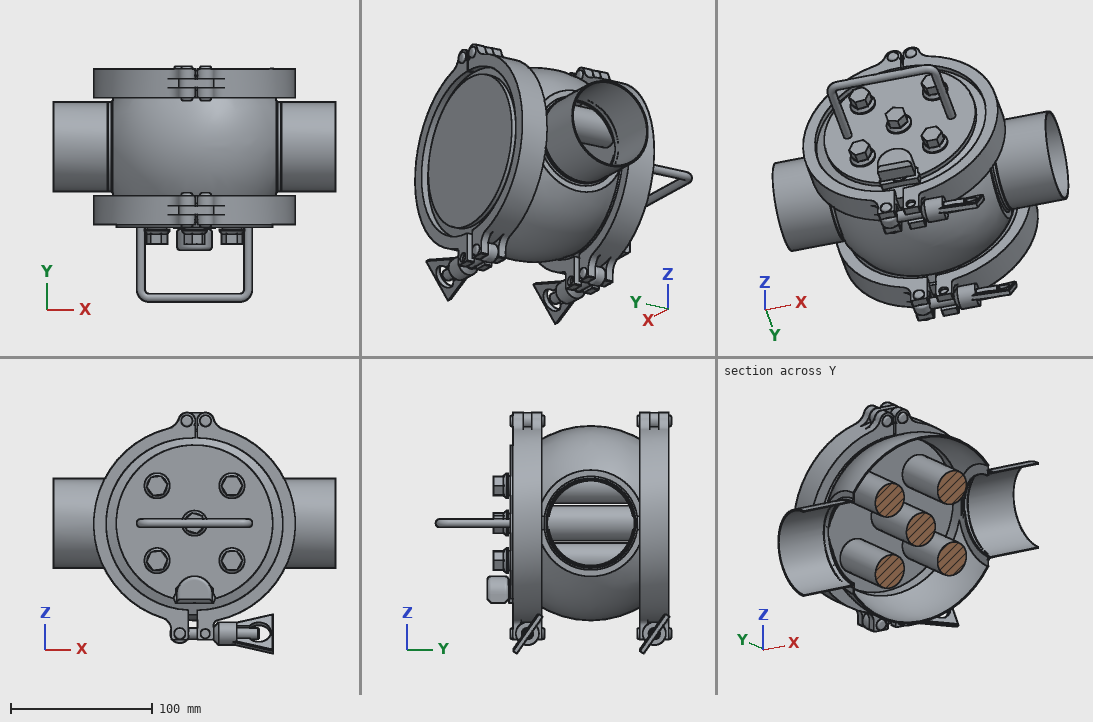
import cadquery as cq
import math

overall_length = 200.0
pipe_outer_radius = 31.8
pipe_wall = 1.0
port_radius = 30.0
body_radius = 69.0
body_wall = 1.2
body_flat_x = 57.8
collar_radius = 33.2
collar_end_x = 59.0
seam_x = 61.0
seam_width = 0.5
seam_depth = 0.2

clamp_y = 44.9
clamp_width = 20.5
clamp_front = clamp_width / 2
clamp_back = -clamp_width / 2
clamp_outer_radius = 69.8
clamp_bore_radius = 61.0
half_offset_x = 1.5
half_offset_z = -0.5
rim_radius = 65.0
rim_inner_radius = 62.5
rim_thickness = 4.8
neck_radius = 60.0
neck_bore_radius = 58.0
cover_face_radius = 55.5
cover_lip_height = 3.5
front_cover_y = -57.0
rear_cover_y = 54.0

hinge_x = 1.2
hinge_pitch = 13.2
hinge_z = 72.5
knuckle_radius = 6.0
knuckle_blend_radius = 10.8
hinge_gap = 1.5
link_width = 6.2
link_end_radius = 5.8
pin_head_radius = 4.0
pin_head_round = 1.5
pin_head_height = 1.9
pin_length = clamp_width + 2 * pin_head_height

bolt_z = -78.2
lug_bottom_z = -82.5
lug_slot_width = 9.0
lug_chamfer = 0.5
left_lug_x = (-4.5, -16.5)
right_lug_x = (2.0, 13.5)
left_lug_blend = 9.0
right_lug_blend = 3.5
eye_x = -10.5
eye_radius = 6.8
eye_width = 8.5
eye_round = 1.5
bolt_radius = 4.1
bolt_end_x = 45.8
bolt_end_chamfer = 1.0
socket_x = 7.5
socket_radius = 3.3
socket_depth = 2.0

nut_radius = 8.2
nut_end_x = 30.0
nut_bevel = 3.5
wing_start_x = 24.0
wing_end_x = 55.8
wing_start_half = 7.2
wing_end_half = 16.0
wing_thickness = 4.0
wing_tilt = 35.0
wing_bevel = 0.8
wing_hole_x = 45.5
wing_hole_radius = 8.5
wing_slot_half = 5.5

tube_pitch = 26.5
tube_radius = 12.5
tube_end_y = 44.0
screw_neck_radius = 7.0
screw_neck_height = 1.5
screw_flange_radius = 9.0
screw_flange_edge = 1.2
screw_flange_height = 3.5
screw_head_corners = 15.0
screw_head_end_y = -69.0
center_screw_turn = 16.5
left_screw_turn = -7.0
right_screw_turn = -1.0

handle_rod_radius = 3.0
handle_leg_x = 38.0
handle_bend_radius = 6.0
handle_outer_y = -110.0

knob_radius = 12.5
knob_z = -50.0
knob_bottom_z = -56.5
knob_start_y = -58.2
knob_end_y = -73.5
knob_edge = 2.8
knob_neck_radius = 6.2
pad_half_width = 13.5
pad_flare = 1.5
pad_corner = 2.5
pad_top_z = -44.0
pad_end_y = -57.8


def plane_at(y):
    """Plane with local axes X and Z; positive extrusion runs toward -Y."""
    return cq.Workplane("XZ", origin=(0, y, 0))


def disc(x, z, radius, y_start, y_end):
    """Cylinder along Y from y_start down to y_end."""
    return plane_at(y_start).center(x, z).circle(radius).extrude(y_start - y_end)


def block(x_range, y_range, z_range):
    """Axis-aligned box given by its limits."""
    size = [limits[1] - limits[0] for limits in (x_range, y_range, z_range)]
    corner = (x_range[0], y_range[0], z_range[0])
    return cq.Workplane("XY").box(*size, centered=False).translate(corner)


def turned_about_y(profile):
    """Solid of revolution about Y from (radius, y) points."""
    return cq.Workplane("XY").polyline(profile).close().revolve(360, (0, 0, 0), (0, 1, 0))


def cylinder_along_x(radius, x_start, x_end, z=0.0):
    """Cylinder along X at y = 0."""
    return cq.Workplane("YZ", origin=(x_start, 0, z)).circle(radius).extrude(x_end - x_start)


def make_housing():
    """Truncated sphere, pipe stubs and end rims, hollow throughout."""
    half_length = overall_length / 2
    ball_limits = (-body_flat_x, body_flat_x)
    clip_y = (-clamp_y, clamp_y)
    clip_z = (-body_radius, body_radius)
    housing = cq.Workplane("XY").sphere(body_radius).intersect(block(ball_limits, clip_y, clip_z))
    inner_limits = (-body_flat_x + body_wall, body_flat_x - body_wall)
    cavity = cq.Workplane("XY").sphere(body_radius - body_wall)
    cavity = cavity.intersect(block(inner_limits, clip_y, clip_z))

    rim_base_y = clamp_y - rim_thickness
    neck_start_y = clamp_y - clamp_width / 2
    rim_profile = [
        (0, 0), (neck_radius, neck_start_y), (rim_inner_radius, rim_base_y),
        (rim_radius, rim_base_y), (rim_radius, clamp_y), (0, clamp_y),
    ]
    rim = turned_about_y(rim_profile)
    rim = rim.intersect(disc(0, 0, rim_radius, clamp_y, neck_start_y))
    housing = housing.union(rim).union(rim.mirror("XZ"))

    seam_radius = pipe_outer_radius - seam_depth
    collar_profile = [
        (body_flat_x - body_wall, 0), (body_flat_x - body_wall, collar_radius),
        (body_flat_x, collar_radius), (collar_end_x, pipe_outer_radius),
        (seam_x, pipe_outer_radius), (seam_x, seam_radius),
        (seam_x + seam_width, seam_radius), (seam_x + seam_width, pipe_outer_radius),
        (half_length, pipe_outer_radius), (half_length, 0),
    ]
    stub = cq.Workplane("XY").polyline(collar_profile).close().revolve(360, (0, 0, 0), (1, 0, 0))
    stub = stub.cut(cylinder_along_x(pipe_outer_radius - pipe_wall, body_flat_x, half_length))
    housing = housing.union(stub).union(stub.mirror("YZ"))

    housing = housing.cut(cavity)
    housing = housing.cut(cylinder_along_x(port_radius, -half_length, half_length))
    return housing.cut(disc(0, 0, neck_bore_radius, clamp_y, -clamp_y))


def make_cover(face_y):
    """Round cover from the rim joint out to face_y, with a sloping edge."""
    side = math.copysign(1, face_y)
    joint_y = side * clamp_y
    rim_y = side * (clamp_y + rim_thickness)
    lip_y = face_y - side * cover_lip_height
    return turned_about_y([
        (0, joint_y), (rim_radius, joint_y), (rim_radius, rim_y),
        (cover_face_radius, lip_y), (cover_face_radius, face_y), (0, face_y),
    ])


def middle_band(width):
    """Slab across the middle of a clamp, splitting what it cuts into two prongs."""
    reach = (2 * bolt_z, -2 * bolt_z)
    return block(reach, (-width / 2, width / 2), reach)


def make_hinge_ear(pin_x, pin_z, side):
    """Knuckle beside a ring centred on the origin, blended into it by an arc tangent to both."""
    pin_distance = math.hypot(pin_x, pin_z)
    to_ring = clamp_outer_radius + knuckle_blend_radius
    to_knuckle = knuckle_radius + knuckle_blend_radius
    cosine = (to_ring**2 + pin_distance**2 - to_knuckle**2) / (2 * to_ring * pin_distance)
    angle = math.atan2(pin_x, pin_z) + side * math.acos(cosine)
    blend_x = to_ring * math.sin(angle)
    blend_z = to_ring * math.cos(angle)

    web = plane_at(clamp_front).polyline([(0, 0), (pin_x, pin_z), (blend_x, blend_z)]).close()
    web = web.extrude(clamp_width)
    web = web.cut(disc(blend_x, blend_z, knuckle_blend_radius, clamp_front, clamp_back))
    ear = web.union(disc(pin_x, pin_z, knuckle_radius, clamp_front, clamp_back))
    return ear.cut(middle_band(link_width))


def make_lug(inner_x, outer_x, bottom_z, blend_radius):
    """Lug below a ring centred on the origin, its outer side blended into the ring by an arc."""
    side = math.copysign(1, outer_x)
    x_range = (min(inner_x, outer_x), max(inner_x, outer_x))
    lug = block(x_range, (clamp_back, clamp_front), (bottom_z, -clamp_bore_radius))
    lug = lug.edges("|Y and <Z").chamfer(lug_chamfer)
    blend_x = outer_x + side * blend_radius
    to_ring = clamp_outer_radius + blend_radius
    blend_z = -math.sqrt(to_ring**2 - blend_x**2)
    web = plane_at(clamp_front).polyline([(0, 0), (outer_x, blend_z), (blend_x, blend_z)]).close()
    web = web.extrude(clamp_width)
    web = web.cut(disc(blend_x, blend_z, blend_radius, clamp_front, clamp_back))
    return lug.union(web).cut(middle_band(lug_slot_width))


def make_clamp_half(side, lug_x, lug_blend):
    """One half of the ring with its hinge knuckles and its forked lug."""
    center_x = side * half_offset_x
    half = disc(0, 0, clamp_outer_radius, clamp_front, clamp_back)
    pin_x = hinge_x + side * hinge_pitch / 2
    half = half.union(make_hinge_ear(pin_x - center_x, hinge_z - half_offset_z, side))
    inner_x, outer_x = lug_x
    half = half.union(make_lug(
        inner_x - center_x, outer_x - center_x, lug_bottom_z - half_offset_z, lug_blend,
    ))
    half = half.cut(disc(0, 0, clamp_bore_radius, clamp_front, clamp_back))
    half = half.translate((center_x, 0, half_offset_z))

    far_x = -side * 2 * clamp_outer_radius
    far_z = 2 * clamp_outer_radius
    split_x = hinge_x + side * hinge_gap / 2
    above = block(sorted((split_x, far_x)), (clamp_back, clamp_front), (0, far_z))
    below = block(sorted((inner_x, far_x)), (clamp_back, clamp_front), (-far_z, 0))
    return half.cut(above).cut(below)


def make_pin(x, z):
    """Cross pin with rounded heads proud of both clamp faces."""
    pin = disc(x, z, pin_head_radius, pin_length / 2, -pin_length / 2)
    return pin.edges().fillet(pin_head_round)


def make_link():
    """Flat-sided link joining the two hinge pins."""
    link = plane_at(link_width / 2).center(hinge_x, hinge_z)
    return link.slot2D(hinge_pitch + 2 * link_end_radius, 2 * link_end_radius).extrude(link_width)


def make_swing_bolt():
    """Eye bolt with its wing nut, tightened against the right lug."""
    eye = disc(eye_x, bolt_z, eye_radius, eye_width / 2, -eye_width / 2)
    eye = eye.edges().fillet(eye_round)
    nut = cylinder_along_x(nut_radius, right_lug_x[1], nut_end_x, bolt_z)
    nut = nut.faces("<X").edges().chamfer(nut_bevel)

    wing_outline = [
        (wing_start_x, wing_start_half), (wing_end_x, wing_end_half),
        (wing_end_x, -wing_end_half), (wing_start_x, -wing_start_half),
    ]
    wing = plane_at(wing_thickness / 2).polyline(wing_outline).close().extrude(wing_thickness)
    wing = wing.faces("<Y").edges().chamfer(wing_bevel)
    wing = wing.cut(disc(wing_hole_x, 0, wing_hole_radius, wing_thickness, -wing_thickness))
    wing = wing.cut(block(
        (nut_end_x, wing_hole_x), (-wing_thickness, wing_thickness), (-wing_slot_half, wing_slot_half),
    ))
    wing = wing.rotate((0, 0, 0), (1, 0, 0), -wing_tilt).translate((0, 0, bolt_z))
    shank = cylinder_along_x(bolt_radius, eye_x, bolt_end_x, bolt_z)
    shank = shank.faces(">X").chamfer(bolt_end_chamfer)
    return eye.union(nut).union(wing).union(shank)


def make_clamp():
    """Hinged two-piece ring clamp, its width centred on y = 0."""
    clamp = make_clamp_half(-1, left_lug_x, left_lug_blend)
    clamp = clamp.union(make_clamp_half(1, right_lug_x, right_lug_blend))
    for outer_y, inner_y in ((clamp_front, clamp_front - socket_depth), (clamp_back + socket_depth, clamp_back)):
        clamp = clamp.cut(disc(socket_x, bolt_z, socket_radius, outer_y, inner_y))
    clamp = clamp.union(make_link()).union(make_swing_bolt())
    for side in (-1, 1):
        clamp = clamp.union(make_pin(hinge_x + side * hinge_pitch / 2, hinge_z))
    return clamp.union(make_pin(eye_x, bolt_z))


def make_screw(turn):
    """Hexagon screw with a conical flange on the Y axis, its head turned by the given angle."""
    flange_y = front_cover_y - screw_neck_height
    edge_y = flange_y - screw_flange_edge
    cone_y = flange_y - screw_flange_height
    screw = turned_about_y([
        (0, front_cover_y), (screw_neck_radius, front_cover_y), (screw_neck_radius, flange_y),
        (screw_flange_radius, flange_y), (screw_flange_radius, edge_y),
        (screw_neck_radius, cone_y), (0, cone_y),
    ])
    head = plane_at(flange_y).polygon(6, screw_head_corners).extrude(flange_y - screw_head_end_y)
    return screw.union(head.rotate((0, 0, 0), (0, 1, 0), turn))


def make_handle():
    """U-shaped rod standing out of the front cover."""
    rod_y = handle_outer_y + handle_rod_radius
    bend_y = rod_y + handle_bend_radius
    bend_x = handle_leg_x - handle_bend_radius
    leg = disc(handle_leg_x, 0, handle_rod_radius, front_cover_y, bend_y)
    bend = plane_at(bend_y).center(handle_leg_x, 0).circle(handle_rod_radius)
    bend = bend.revolve(90, (-handle_bend_radius, 2), (-handle_bend_radius, 0))
    bar = cylinder_along_x(handle_rod_radius, -bend_x, bend_x).translate((0, rod_y, 0))
    corner = leg.union(bend)
    return bar.union(corner).union(corner.mirror("YZ"))


def make_knob():
    """Half-round knob on a short neck, above a pad that fills out the cover edge."""
    knob = plane_at(knob_start_y).moveTo(-knob_radius, 2 * knob_bottom_z).lineTo(-knob_radius, knob_z)
    knob = knob.threePointArc((0, knob_z + knob_radius), (knob_radius, knob_z))
    knob = knob.lineTo(knob_radius, 2 * knob_bottom_z).close().extrude(knob_start_y - knob_end_y)
    knob = knob.faces("<Y or >Y").edges().fillet(knob_edge)
    side_outline = [
        (knob_start_y, 0), (knob_start_y, knob_bottom_z + knob_edge),
        (knob_start_y - knob_edge, knob_bottom_z), (knob_end_y + knob_edge, knob_bottom_z),
        (knob_end_y, knob_bottom_z + knob_edge), (knob_end_y, 0),
    ]
    knob = knob.intersect(
        cq.Workplane("YZ").polyline(side_outline).close().extrude(knob_radius, both=True)
    )
    neck = disc(0, knob_z, knob_neck_radius, front_cover_y, knob_start_y)
    flare_x = pad_half_width + pad_flare
    flare_z = knob_z - 2 * pad_flare
    right_side = [
        (pad_half_width - pad_corner, pad_top_z), (pad_half_width, pad_top_z - pad_corner),
        (pad_half_width, knob_z), (flare_x, flare_z), (pad_half_width, knob_bottom_z),
    ]
    left_side = [(-x, z) for x, z in reversed(right_side)]
    pad = plane_at(-clamp_y).polyline(right_side + left_side).close().extrude(-clamp_y - pad_end_y)
    return knob.union(neck).union(pad)


result = make_housing().union(make_cover(front_cover_y)).union(make_cover(rear_cover_y))

for clamp_place in (-clamp_y, clamp_y):
    result = result.union(make_clamp().translate((0, clamp_place, 0)))

screw_places = [(0, 0, center_screw_turn)]
for z in (-tube_pitch, tube_pitch):
    screw_places.append((-tube_pitch, z, left_screw_turn))
    screw_places.append((tube_pitch, z, right_screw_turn))
for x, z, turn in screw_places:
    result = result.union(disc(x, z, tube_radius, tube_end_y, -clamp_y))
    result = result.union(make_screw(turn).translate((x, 0, z)))

result = result.union(make_handle()).union(make_knob())